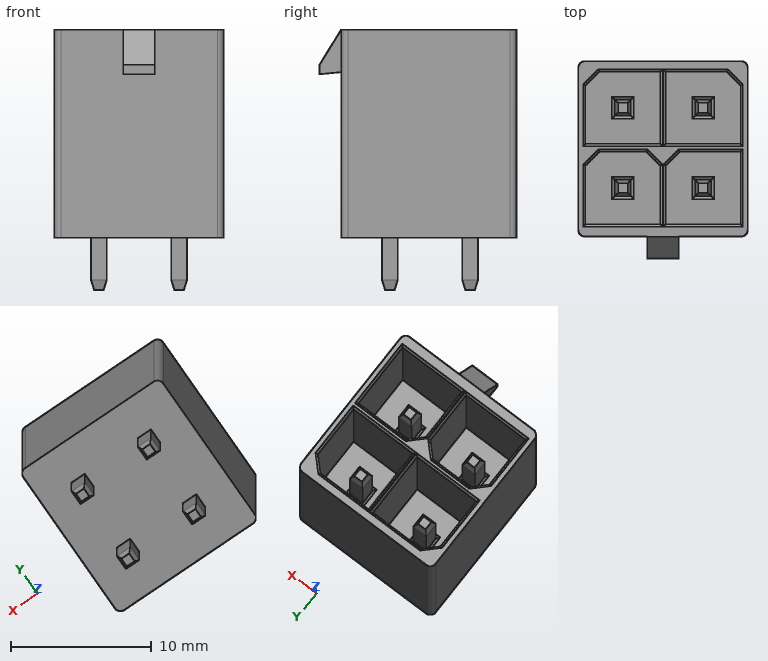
import cadquery as cq
import math

housing_width = 12.05
housing_depth = 12.47
housing_height = 14.8
corner_radius = 0.48

overall_depth = 14.02
latch_width = 2.25
latch_reach = overall_depth - housing_depth
nose_top_drop = 2.52
nose_bottom_drop = 3.18
root_bottom_drop = 3.03

pitch = 5.7
grid_y = 0.07

divider_width = 0.05
mouth_width = pitch - divider_width
mouth_depth = 5.48
key_cut = 1.1
lead_in = 0.17
cavity_depth = 9.99
floor_z = housing_height - cavity_depth

overall_height = 18.5
pin_size = 1.15
pin_bottom_z = housing_height - overall_height
pin_rise = 5.0
pin_top_z = floor_z + pin_rise
pin_tip_size = 0.68
pin_tip_length = 0.74

countersink_size = 1.57
countersink_depth = (countersink_size - pin_size) / 2

cells = [
    (-1, 1, True, False),
    (1, 1, False, True),
    (-1, -1, True, True),
    (1, -1, True, False),
]


def square_taper(start_size, start_z, end_size, end_z):
    """Solid that runs straight from one centered square to another."""
    return (
        cq.Workplane("XY", origin=(0, 0, start_z))
        .rect(start_size, start_size)
        .workplane(offset=end_z - start_z)
        .rect(end_size, end_size)
        .loft(ruled=True)
    )


def make_housing():
    return (
        cq.Workplane("XY")
        .rect(housing_width, housing_depth)
        .extrude(housing_height)
        .edges("|Z")
        .fillet(corner_radius)
    )


def make_latch():
    root_y = -housing_depth / 2
    nose_y = root_y - latch_reach
    return (
        cq.Workplane("YZ", origin=(-latch_width / 2, 0, 0))
        .moveTo(root_y, housing_height)
        .lineTo(nose_y, housing_height - nose_top_drop)
        .lineTo(nose_y, housing_height - nose_bottom_drop)
        .lineTo(root_y, housing_height - root_bottom_drop)
        .close()
        .extrude(latch_width)
    )


def cavity_outline(inset, key_left, key_right):
    """Corner points of the cavity, with every side moved inwards by the inset."""
    x = mouth_width / 2 - inset
    y = mouth_depth / 2 - inset
    cut = key_cut - inset * (2 - math.sqrt(2))
    points = [(-x, -y), (x, -y)]
    points += [(x, y - cut), (x - cut, y)] if key_right else [(x, y)]
    points += [(-x + cut, y), (-x, y - cut)] if key_left else [(-x, y)]
    return points


def make_cavity(key_left, key_right):
    """Cutter for one cavity: straight shaft plus lead-in."""
    shaft_outline = cavity_outline(lead_in, key_left, key_right)
    mouth_outline = cavity_outline(0, key_left, key_right)
    shaft = (
        cq.Workplane("XY", origin=(0, 0, floor_z))
        .polyline(shaft_outline)
        .close()
        .extrude(cavity_depth)
    )
    mouth = (
        cq.Workplane("XY", origin=(0, 0, housing_height - lead_in))
        .polyline(shaft_outline)
        .close()
        .workplane(offset=lead_in)
        .polyline(mouth_outline)
        .close()
        .loft(ruled=True)
    )
    return shaft.union(mouth)


def make_countersink():
    return square_taper(pin_size, floor_z - countersink_depth, countersink_size, floor_z)


def make_pin():
    shank_bottom_z = pin_bottom_z + pin_tip_length
    shank_top_z = pin_top_z - pin_tip_length
    shank = (
        cq.Workplane("XY", origin=(0, 0, shank_bottom_z))
        .rect(pin_size, pin_size)
        .extrude(shank_top_z - shank_bottom_z)
    )
    bottom_tip = square_taper(pin_tip_size, pin_bottom_z, pin_size, shank_bottom_z)
    top_tip = square_taper(pin_size, shank_top_z, pin_tip_size, pin_top_z)
    return shank.union(bottom_tip).union(top_tip)


result = make_housing().union(make_latch())

for column, row, key_left, key_right in cells:
    cell_center = (column * pitch / 2, row * pitch / 2 + grid_y, 0)
    result = result.cut(make_cavity(key_left, key_right).translate(cell_center))
    result = result.cut(make_countersink().translate(cell_center))
    result = result.union(make_pin().translate(cell_center))